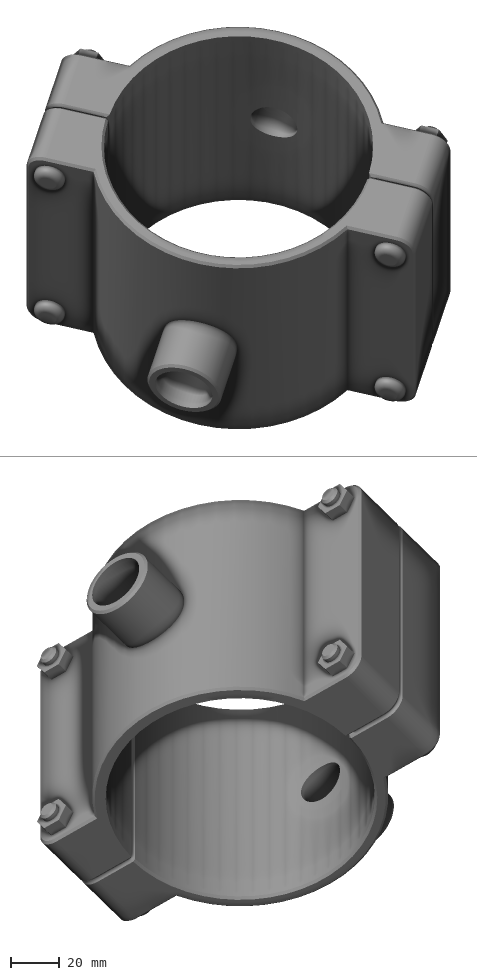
import cadquery as cq
import math


HEIGHT = 116.0
BORE_DIAMETER = 110.0
RING_DIAMETER = 121.0
EDGE_CHAMFER = 1.0
PARTING_GAP = 0.5

LUG_SPAN = 165.0
LUG_FACE_Y = 27.5
LUG_CORNER_RADIUS = 8.0

STUB_DIAMETER = 31.5
SOCKET_DIAMETER = 24.2
SOCKET_DEPTH = 19.0
PORT_DIAMETER = 20.0
STUB_END_Y = 84.0

BOLT_X = 72.2
BOLT_Z = 47.5
HEAD_DIAMETER = 13.0
HEAD_HEIGHT = 4.0
HEAD_ROUNDING = 2.9
SHANK_DIAMETER = 8.0
TIP_LENGTH = 3.0
TIP_CHAMFER = 1.0
NUT_ACROSS_FLATS = 13.0
NUT_HEIGHT = 5.0

NUT_ACROSS_CORNERS = NUT_ACROSS_FLATS / math.cos(math.pi / 6)
BORE_RADIUS = BORE_DIAMETER / 2
RING_RADIUS = RING_DIAMETER / 2
TOLERANCE = 0.001


def cylinder_y(diameter, y_start, y_end):
    """Cylinder on the Y axis between two Y positions."""
    return cq.Workplane("XZ", origin=(0, y_start, 0)).circle(diameter / 2).extrude(y_start - y_end)


def half_turn(shape):
    """Turn a +Y shape about Z to the -Y side."""
    return shape.rotate((0, 0, 0), (0, 0, 1), 180)


def plain_half():
    """Half ring with its two lugs, on the +Y side of the parting gap, edges still sharp."""
    lugs = (
        cq.Workplane("XY")
        .box(LUG_SPAN, 2 * LUG_FACE_Y, HEIGHT)
        .edges("|Y")
        .fillet(LUG_CORNER_RADIUS)
    )
    bore = cq.Workplane("XY").cylinder(HEIGHT, BORE_RADIUS)
    one_side = (
        cq.Workplane("XY", origin=(0, PARTING_GAP / 2, 0))
        .box(LUG_SPAN, RING_RADIUS, HEIGHT, centered=(True, False, True))
    )
    ring = cq.Workplane("XY").cylinder(HEIGHT, RING_RADIUS)
    return lugs.union(ring).cut(bore).intersect(one_side)


def is_bore_rim(edge):
    return edge.geomType() == "CIRCLE" and abs(edge.radius() - BORE_RADIUS) < TOLERANCE


def is_lug_root(edge):
    """True for the upright inner corner where a lug leaves the ring."""
    center = edge.Center()
    on_lug_face = abs(center.y - LUG_FACE_Y) < TOLERANCE
    return on_lug_face and abs(center.z) < TOLERANCE and abs(center.x) < RING_RADIUS


def is_along_y(edge):
    """True for the lines where the rounded lug corners run into flat faces."""
    return edge.geomType() == "LINE" and abs(edge.tangentAt(0).y) > 1 - TOLERANCE


def make_half(chamfer_bore_rims):
    half = plain_half()
    chamfered_edges = [
        edge
        for edge in half.edges().vals()
        if not is_lug_root(edge)
        and not is_along_y(edge)
        and (chamfer_bore_rims or not is_bore_rim(edge))
    ]
    half = half.newObject(chamfered_edges).chamfer(EDGE_CHAMFER)
    return half.cut(cylinder_y(PORT_DIAMETER, 0, STUB_END_Y))


def make_fastener():
    """Bolt on the Y axis with a domed head at -Y and a hexagon nut at +Y."""
    tip_y = LUG_FACE_Y + NUT_HEIGHT + TIP_LENGTH
    head = cylinder_y(HEAD_DIAMETER, -LUG_FACE_Y - HEAD_HEIGHT, -LUG_FACE_Y)
    head = head.faces("<Y").edges().fillet(HEAD_ROUNDING)
    shank = cylinder_y(SHANK_DIAMETER, -LUG_FACE_Y, tip_y).faces(">Y").chamfer(TIP_CHAMFER)
    nut = (
        cq.Workplane("XZ", origin=(0, LUG_FACE_Y, 0))
        .polygon(6, NUT_ACROSS_CORNERS)
        .extrude(-NUT_HEIGHT)
    )
    return head.union(shank).union(nut)


def make_clamp():
    """Both halves joined into one body by the four fasteners that cross the parting gap."""
    clamp = make_half(chamfer_bore_rims=False)
    front_half = half_turn(make_half(chamfer_bore_rims=True))
    fastener = make_fastener()
    for x in (-BOLT_X, BOLT_X):
        for z in (-BOLT_Z, BOLT_Z):
            clamp = clamp.union(fastener.translate((x, 0, z)))
    return clamp.union(front_half).solids()


def make_stub():
    """Branch stub on the +Y side, its inner end saddled onto the ring."""
    stub = cylinder_y(STUB_DIAMETER, BORE_RADIUS, STUB_END_Y)
    stub = stub.faces(">Y").chamfer(EDGE_CHAMFER)
    stub = stub.cut(cylinder_y(PORT_DIAMETER, 0, STUB_END_Y))
    stub = stub.cut(cylinder_y(SOCKET_DIAMETER, STUB_END_Y - SOCKET_DEPTH, STUB_END_Y))
    return stub.cut(cq.Workplane("XY").cylinder(HEIGHT, RING_RADIUS)).solids()


clamp = make_clamp()
back_stub = make_stub()
stubs = [back_stub, half_turn(back_stub)]

result = cq.Compound.makeCompound([clamp.val(), *[stub.val() for stub in stubs]])